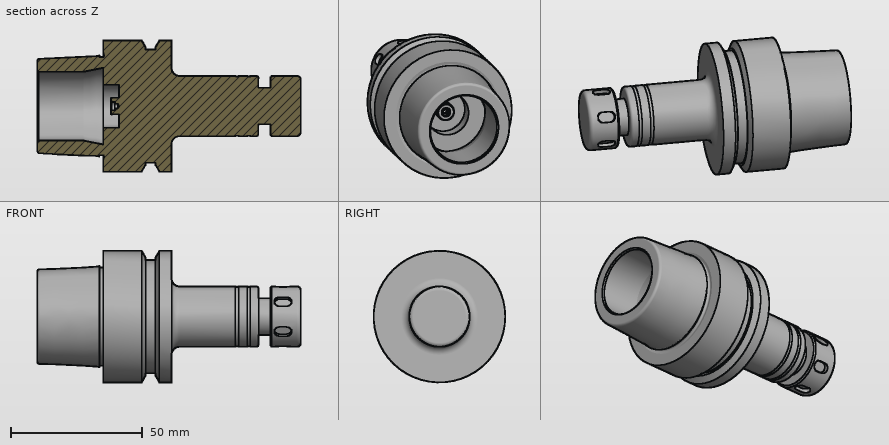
import cadquery as cq
import math


shank_length = 25.0
shank_tip_radius = 17.95
shank_tip_fillet = 1.0
taper_end_x = -2.0
taper_end_radius = 19.05
land_end_x = -1.4
land_radius = 19.25
neck_start_x = -1.2
neck_radius = 18.65
face_relief_radius = 20.4
face_relief_angle = 15.0
relief_corner_radius = 0.6

flange_length = 26.0
flange_diameter = 50.0
gripper_groove_center_x = 18.0
gripper_groove_width = 3.75
gripper_groove_diameter = 43.0
flank_run = 1.5
flank_depth = flank_run * math.tan(math.radians(60))

body_diameter = 23.0
body_end_x = 59.0
body_root_fillet = 3.0
body_end_fillet = 1.0
ring_groove_starts = (50.2, 54.7)
ring_groove_width = 1.2
ring_groove_depth = 0.25

overall_length = 100.0
neck_diameter = 14.0
nut_start_x = 63.4
nut_end_x = overall_length - shank_length
nut_diameter = 23.0
nut_chamfer = 0.6
nut_fillet = 1.5

slot_count = 6
slot_length = 6.6
slot_width = 4.0
slot_depth = 1.75
slot_center_x = 68.2

bore_diameter = 26.0
bore_mouth_diameter = 27.0
bore_mouth_depth = 0.6
bore_floor_x = 0.0
bore_flare_start_x = -7.4
bore_floor_diameter = 29.0
pocket_diameter = 16.2
pocket_depth = 6.0
screw_diameter = 6.5
screw_tip_diameter = 6.0
screw_height = 3.0
screw_chamfer = (screw_diameter - screw_tip_diameter) / 2
screw_mouth_diameter = 3.5
screw_recess_diameter = 3.0
screw_recess_depth = 1.5
screw_mouth_depth = (screw_mouth_diameter - screw_recess_diameter) / 2
screw_pilot_diameter = 1.7
screw_pilot_depth = 1.0
drill_point_angle = 118.0


def revolve_about_x(profile):
    return profile.close().revolve(360, (0, 0, 0), (1, 0, 0))


def disc(start_x, length, diameter):
    return cq.Workplane("YZ", origin=(start_x, 0, 0)).circle(diameter / 2).extrude(length)


def cone(start_x, length, start_diameter, end_diameter):
    profile = (
        cq.Workplane("XY")
        .moveTo(start_x, 0)
        .lineTo(start_x, start_diameter / 2)
        .lineTo(start_x + length, end_diameter / 2)
    )
    if end_diameter > 0:
        profile = profile.lineTo(start_x + length, 0)
    return revolve_about_x(profile)


def make_shank():
    solid = revolve_about_x(
        cq.Workplane("XY")
        .moveTo(-shank_length, 0)
        .lineTo(-shank_length, shank_tip_radius)
        .lineTo(taper_end_x, taper_end_radius)
        .lineTo(land_end_x, land_radius)
        .lineTo(0, land_radius)
        .lineTo(0, 0)
    )
    return solid.faces("<X").edges().fillet(shank_tip_fillet)


def make_face_relief():
    """Rounded undercut where the taper meets the conically relieved flange face."""
    angle = math.radians(face_relief_angle)
    corner_x = (face_relief_radius - neck_radius) * math.tan(angle)
    tangent_length = relief_corner_radius * math.tan((math.pi / 2 + angle) / 2)
    arc_start_x = corner_x - tangent_length
    arc_center_radius = neck_radius + relief_corner_radius
    bisector = (math.pi / 2 - angle) / 2
    arc_middle = (
        arc_start_x + relief_corner_radius * math.cos(bisector),
        arc_center_radius - relief_corner_radius * math.sin(bisector),
    )
    arc_end = (
        arc_start_x + relief_corner_radius * math.cos(angle),
        arc_center_radius + relief_corner_radius * math.sin(angle),
    )
    return revolve_about_x(
        cq.Workplane("XY")
        .moveTo(land_end_x, land_radius)
        .lineTo(neck_start_x, neck_radius)
        .lineTo(arc_start_x, neck_radius)
        .threePointArc(arc_middle, arc_end)
        .lineTo(0, face_relief_radius)
        .lineTo(land_end_x, face_relief_radius)
    )


def make_flange():
    solid = disc(0, flange_length, flange_diameter)
    groove_start = gripper_groove_center_x - gripper_groove_width / 2
    groove_end = gripper_groove_center_x + gripper_groove_width / 2
    rim_radius = flange_diameter / 2
    floor_radius = gripper_groove_diameter / 2
    groove = revolve_about_x(
        cq.Workplane("XY")
        .moveTo(groove_start - flank_run, rim_radius)
        .lineTo(groove_start, rim_radius - flank_depth)
        .lineTo(groove_start, floor_radius)
        .lineTo(groove_end, floor_radius)
        .lineTo(groove_end, rim_radius - flank_depth)
        .lineTo(groove_end + flank_run, rim_radius)
    )
    return solid.cut(groove)


def make_body():
    radius = body_diameter / 2
    fillet_offset = body_root_fillet * (1 - math.sqrt(0.5))
    return revolve_about_x(
        cq.Workplane("XY")
        .moveTo(flange_length, 0)
        .lineTo(flange_length, radius + body_root_fillet)
        .threePointArc(
            (flange_length + fillet_offset, radius + fillet_offset),
            (flange_length + body_root_fillet, radius),
        )
        .lineTo(body_end_x, radius)
        .lineTo(body_end_x, 0)
    ).faces(">X").edges().fillet(body_end_fillet)


def make_ring_groove(start_x):
    radius = body_diameter / 2
    end_x = start_x + ring_groove_width
    middle = ((start_x + end_x) / 2, radius - ring_groove_depth)
    return revolve_about_x(
        cq.Workplane("XY").moveTo(start_x, radius).threePointArc(middle, (end_x, radius))
    )


def make_nut():
    nut = disc(nut_start_x, nut_end_x - nut_start_x, nut_diameter)
    nut = nut.faces("<X").edges().chamfer(nut_chamfer)
    nut = nut.faces(">X").edges().fillet(nut_fillet)
    floor_radius = nut_diameter / 2 - slot_depth
    slot = (
        cq.Workplane("XY", origin=(slot_center_x, 0, floor_radius))
        .slot2D(slot_length, slot_width)
        .extrude(2 * slot_depth)
    )
    for index in range(slot_count):
        angle = index * 360 / slot_count
        nut = nut.cut(slot.rotate((0, 0, 0), (1, 0, 0), angle))
    return nut


def make_bore():
    mouth = cone(-shank_length, bore_mouth_depth, bore_mouth_diameter, bore_diameter)
    bore = disc(-shank_length, shank_length + bore_floor_x, bore_diameter)
    pocket = disc(bore_floor_x, pocket_depth, pocket_diameter)
    flare_length = bore_floor_x - bore_flare_start_x
    flare = cone(bore_flare_start_x, flare_length, bore_diameter, bore_floor_diameter)
    return bore.union(mouth).union(flare).union(pocket)


def make_screw():
    tip_x = bore_floor_x + pocket_depth - screw_height
    screw = disc(tip_x, screw_height, screw_diameter).faces("<X").edges().chamfer(screw_chamfer)
    mouth = cone(tip_x, screw_mouth_depth, screw_mouth_diameter, screw_recess_diameter)
    recess = disc(tip_x, screw_recess_depth, screw_recess_diameter)
    pilot_x = tip_x + screw_recess_depth
    point_length = screw_pilot_diameter / 2 / math.tan(math.radians(drill_point_angle / 2))
    pilot = disc(pilot_x, screw_pilot_depth, screw_pilot_diameter)
    point = cone(pilot_x + screw_pilot_depth, point_length, screw_pilot_diameter, 0)
    return screw.cut(mouth).cut(recess).cut(pilot).cut(point)


holder = make_flange().union(make_shank()).cut(make_face_relief()).union(make_body())
for groove_start_x in ring_groove_starts:
    holder = holder.cut(make_ring_groove(groove_start_x))
holder = holder.union(disc(body_end_x, nut_start_x - body_end_x, neck_diameter))
holder = holder.union(make_nut())
result = holder.cut(make_bore()).union(make_screw())